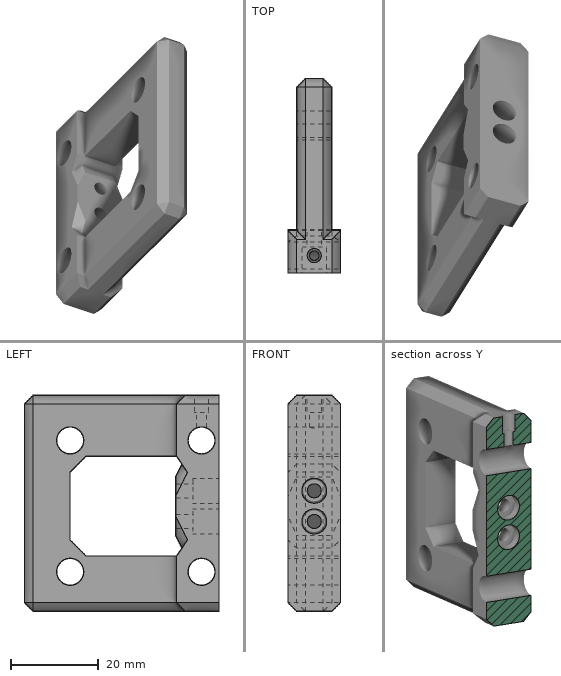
import cadquery as cq

flange_width = 12.0
flange_depth = 9.7
plate_width = 8.0
length = 44.45
height = 49.4
top_z = 25.35
bottom_z = top_z - height
chamfer = 2.0

window_back = 34.0
window_half_height = 11.35
window_corner = 3.6
tongue_tip_y = 9.95
tongue_half_height = 6.7
tongue_slope = 2.0
notch_y = 8.5
notch_z = tongue_half_height + tongue_slope * (tongue_tip_y - notch_y)

cross_diameter = 6.1
cross_front_y = 4.0
cross_spacing = 30.0

screw_diameter = 3.2
screw_head_diameter = 5.7
screw_head_depth = 6.0
screw_spacing = 7.0

set_screw_diameter = 3.22
set_screw_depth = 4.0
set_screw_pilot_diameter = 2.2


def block(width, depth):
    """Full-height block centred on x = 0, running back from the front face."""
    base = cq.Workplane("XY", origin=(0, 0, bottom_z))
    return base.box(width, depth, height, centered=(True, False, False))


def plate():
    """Thin plate, chamfered on every edge except those of the front face."""
    return block(plate_width, length).edges("not <Y").chamfer(chamfer)


def flange():
    """Thick front block with its long edges and its rear top and bottom edges chamfered."""
    return block(flange_width, flange_depth).edges("|Y or (>Y and |X)").chamfer(chamfer)


def tongue():
    """Full-width bar that brings the flange forward to the tongue tip."""
    return cq.Workplane("XY").box(
        flange_width, tongue_tip_y, 2 * window_half_height, centered=(True, False, True)
    )


def window():
    """Window with two cut corners and a notch on each side of the tongue."""
    upper_half = [
        (tongue_tip_y, tongue_half_height),
        (notch_y, notch_z),
        (flange_depth, window_half_height),
        (window_back - window_corner, window_half_height),
        (window_back, window_half_height - window_corner),
    ]
    lower_half = [(y, -z) for y, z in reversed(upper_half)]
    return cq.Workplane("YZ").polyline(upper_half + lower_half).close().extrude(flange_width / 2, both=True)


def chamfer_tongue(body):
    """Chamfer the outer edges of the two sloping tongue sides."""
    edge_y = (tongue_tip_y + notch_y) / 2
    edge_z = (tongue_half_height + notch_z) / 2
    for x in (-flange_width / 2, flange_width / 2):
        for z in (-edge_z, edge_z):
            body = body.edges(cq.NearestToPointSelector((x, edge_y, z))).chamfer(chamfer)
    return body


def cross_holes():
    """Four holes through the whole thickness."""
    return (
        cq.Workplane("YZ")
        .center(cross_front_y + cross_spacing / 2, 0)
        .rarray(cross_spacing, cross_spacing, 2, 2)
        .circle(cross_diameter / 2)
        .extrude(flange_width / 2, both=True)
    )


def drill(diameter, depth, start, direction):
    """Cylinder running from a start point along a direction."""
    return cq.Workplane(cq.Solid.makeCylinder(diameter / 2, depth, cq.Vector(start), cq.Vector(direction)))


def screw_holes():
    """Two counterbored holes from the front face through the tongue."""
    cuts = cq.Workplane()
    for z in (-screw_spacing / 2, screw_spacing / 2):
        start = (0, 0, z)
        cuts = cuts.add(drill(screw_head_diameter, screw_head_depth, start, (0, 1, 0)))
        cuts = cuts.add(drill(screw_diameter, tongue_tip_y, start, (0, 1, 0)))
    return cuts.combine()


def set_screw_hole():
    """Stepped hole that ends in the upper front cross hole."""
    start = (0, cross_front_y, top_z)
    depth_to_cross_hole = top_z - cross_spacing / 2
    bore = drill(set_screw_diameter, set_screw_depth, start, (0, 0, -1))
    return bore.union(drill(set_screw_pilot_diameter, depth_to_cross_hole, start, (0, 0, -1)))


body = plate().union(flange()).union(tongue()).cut(window())
body = chamfer_tongue(body)
result = body.cut(cross_holes()).cut(screw_holes()).cut(set_screw_hole())